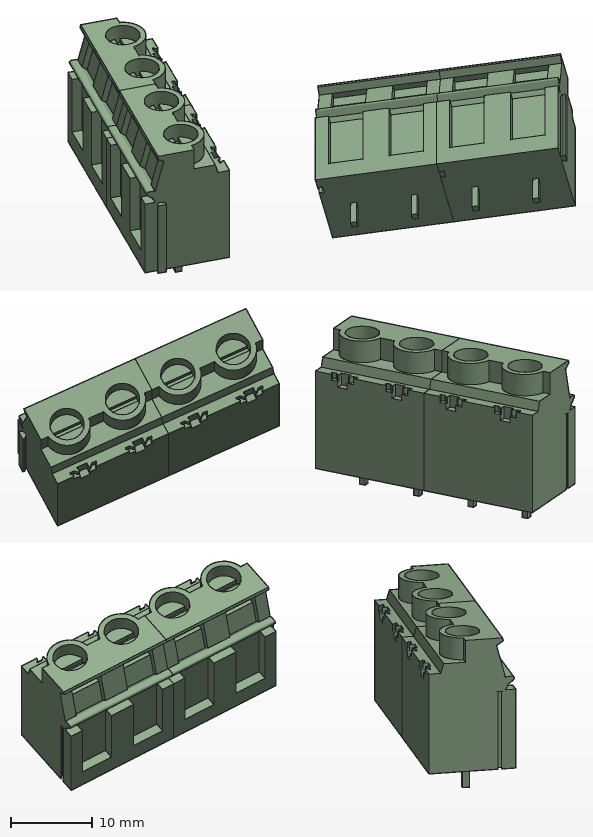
import cadquery as cq
import math


pitch = 7.63
cells_per_module = 2
module_count = 2
module_width = pitch * cells_per_module

depth = 11.0
height = 17.0
shoulder_depth = 1.3
shoulder_z = 10.25
rear_step_z = 12.95
rear_slope_bottom_y = 9.5
rear_slope_top_y = 9.12
deck_z = 14.15
block_rear_y = 6.38

lip_top_z = 11.95
nose_radius = 0.28
nose_y = 0.47
lip_underside_angle = 40
lip_bend_z = 10.9
lip_crown_y = 0.95

slope_bottom_y, slope_bottom_z = 1.3, 11.83
slope_top_y, slope_top_z = 2.43, 16.05
overhang_tip_y, overhang_tip_z = 1.55, 16.62
overhang_top_y = 1.68

opening_width = 4.33
front_slot_floor_z = 2.43
recess_depth = 0.78
recess_ledge_z = 14.2
recess_back_y = 3.33

screw_y = 5.88
tower_radius = 2.85
screw_radius = 2.12
screw_top_z = 15.1
screw_height = 1.87
drive_slot_width = 0.65
drive_slot_depth = 0.62

pocket_width = 1.35
pocket_length = 0.93
pocket_depth = 1.55
wing_depth = 0.78
wing_shoulder_x = 1.53
wing_tip_x = 1.8
wing_heel_x = 1.2
wing_length = 0.65
wing_shoulder_length = 0.2
wing_bend_length = 0.47
wing_root_x = 0.85
wing_root_length = 0.28

rail_y = 2.02
rail_neck_width = 0.47
rail_head_width = 1.1
rail_flare = 0.35
rail_projection = 0.62
rail_height = 10.05

pin_y = 5.5
pin_width = 0.75
pin_thickness = 0.87
pin_length = 3.2


def box(x_range, y_range, z_range):
    """Axis-aligned box from the limits on each axis."""
    (x0, x1), (y0, y1), (z0, z1) = x_range, y_range, z_range
    return cq.Workplane("XY").box(x1 - x0, y1 - y0, z1 - z0, centered=False).translate((x0, y0, z0))


def centered_range(middle, size):
    return (middle - size / 2, middle + size / 2)


def housing_profile():
    """Cross-section in the YZ plane, without the screw towers."""
    nose_z = lip_top_z - nose_radius
    underside = math.radians(lip_underside_angle)
    nose_end_y = nose_y - nose_radius * math.sin(underside)
    nose_end_z = nose_z - nose_radius * math.cos(underside)
    lip_bend_y = nose_end_y + (nose_end_z - lip_bend_z) / math.tan(underside)
    return (
        cq.Workplane("YZ")
        .moveTo(0, 0)
        .lineTo(0, shoulder_z)
        .lineTo(shoulder_depth, shoulder_z)
        .lineTo(lip_bend_y, lip_bend_z)
        .lineTo(nose_end_y, nose_end_z)
        .threePointArc((nose_y - nose_radius, nose_z), (nose_y, lip_top_z))
        .lineTo(lip_crown_y, lip_top_z)
        .tangentArcPoint((slope_bottom_y, slope_bottom_z), relative=False)
        .lineTo(slope_top_y, slope_top_z)
        .lineTo(overhang_tip_y, overhang_tip_z)
        .lineTo(overhang_top_y, height)
        .lineTo(block_rear_y, height)
        .lineTo(block_rear_y, deck_z)
        .lineTo(rear_slope_top_y, deck_z)
        .lineTo(rear_slope_bottom_y, rear_step_z)
        .lineTo(depth, rear_step_z)
        .lineTo(depth, 0)
        .close()
    )


def sloped_recess(cell_x):
    """Recess parallel to the sloped face, stepping deeper above a level ledge.

    Its floor falls away along the tangent of the lip crown.
    """
    run = slope_top_y - slope_bottom_y
    rise = slope_top_z - slope_bottom_z
    lean = math.atan2(run, rise)
    floor_fall = 2 * math.atan2(lip_top_z - slope_bottom_z, slope_bottom_y - lip_crown_y)
    floor_length = recess_depth / math.cos(floor_fall - lean)
    floor_end_y = slope_bottom_y + floor_length * math.cos(floor_fall)
    floor_end_z = slope_bottom_z - floor_length * math.sin(floor_fall)
    ledge_front_y = floor_end_y + (recess_ledge_z - floor_end_z) * run / rise
    outline = [
        (slope_bottom_y, slope_bottom_z),
        (floor_end_y, floor_end_z),
        (ledge_front_y, recess_ledge_z),
        (recess_back_y, recess_ledge_z),
        (recess_back_y, slope_top_z),
        (slope_top_y, slope_top_z),
    ]
    recess = cq.Workplane("YZ").polyline(outline).close().extrude(opening_width)
    return recess.translate((cell_x - opening_width / 2, 0, 0))


def front_slot(cell_x):
    """Slot in the front wall, open at the shoulder."""
    return box(centered_range(cell_x, opening_width), (0, shoulder_depth), (front_slot_floor_z, shoulder_z))


def marker_pocket(cell_x):
    """Square pocket with two wings, open to the rear face and the rear step."""
    pocket = box(
        centered_range(cell_x, pocket_width),
        (depth - pocket_length, depth),
        (rear_step_z - pocket_depth, rear_step_z),
    )
    wing_outline = [
        (0, 0),
        (wing_shoulder_x, 0),
        (wing_shoulder_x, -wing_shoulder_length),
        (wing_tip_x, -wing_bend_length),
        (wing_tip_x, -wing_length),
        (wing_heel_x, -wing_length),
        (wing_root_x, -wing_root_length),
        (0, -wing_root_length),
    ]
    wing = cq.Workplane("XY").polyline(wing_outline).close().extrude(-wing_depth)
    wings = wing.union(wing.mirror("YZ")).translate((cell_x, depth, rear_step_z))
    return pocket.union(wings)


def screw_cylinder(cell_x, radius, bottom_z, top_z):
    return cq.Workplane("XY").circle(radius).extrude(top_z - bottom_z).translate((cell_x, screw_y, bottom_z))


def dovetail(wall_x):
    """Dovetail prism that widens in +X from the plane X = wall_x."""
    outline = [
        (0, -rail_neck_width / 2),
        (rail_flare, -rail_head_width / 2),
        (rail_projection, -rail_head_width / 2),
        (rail_projection, rail_head_width / 2),
        (rail_flare, rail_head_width / 2),
        (0, rail_neck_width / 2),
    ]
    prism = cq.Workplane("XY").polyline(outline).close().extrude(rail_height)
    return prism.translate((wall_x, rail_y, 0))


def cell_centers(module_x):
    return [module_x + (i + 0.5) * pitch for i in range(cells_per_module)]


def make_housing(module_x):
    """Two-terminal housing whose -X side lies at module_x."""
    housing = housing_profile().extrude(module_width).translate((module_x, 0, 0))
    for cell_x in cell_centers(module_x):
        housing = housing.union(screw_cylinder(cell_x, tower_radius, deck_z, height))
    for cell_x in cell_centers(module_x):
        housing = housing.cut(screw_cylinder(cell_x, screw_radius, screw_top_z - screw_height, height))
        housing = housing.cut(front_slot(cell_x))
        housing = housing.cut(sloped_recess(cell_x))
        housing = housing.cut(marker_pocket(cell_x))
    housing = housing.cut(dovetail(module_x))
    return housing.union(dovetail(module_x + module_width))


def make_screw(cell_x):
    """Slotted screw head that fills the lower part of its hole."""
    screw = screw_cylinder(cell_x, screw_radius, screw_top_z - screw_height, screw_top_z)
    drive_slot = box(
        centered_range(cell_x, 2 * screw_radius),
        centered_range(screw_y, drive_slot_width),
        (screw_top_z - drive_slot_depth, screw_top_z),
    )
    return screw.cut(drive_slot)


def make_pin(cell_x):
    """Solder pin that hangs from the underside of the housing."""
    return box(centered_range(cell_x, pin_width), centered_range(pin_y, pin_thickness), (-pin_length, 0))


housings = []
screws = []
pins = []
for module in range(module_count):
    module_start = module * module_width
    housings.append(make_housing(module_start).val())
    for center_x in cell_centers(module_start):
        screws.append(make_screw(center_x).val())
        pins.append(make_pin(center_x).val())

result = cq.Compound.makeCompound([*housings, *screws, *pins])